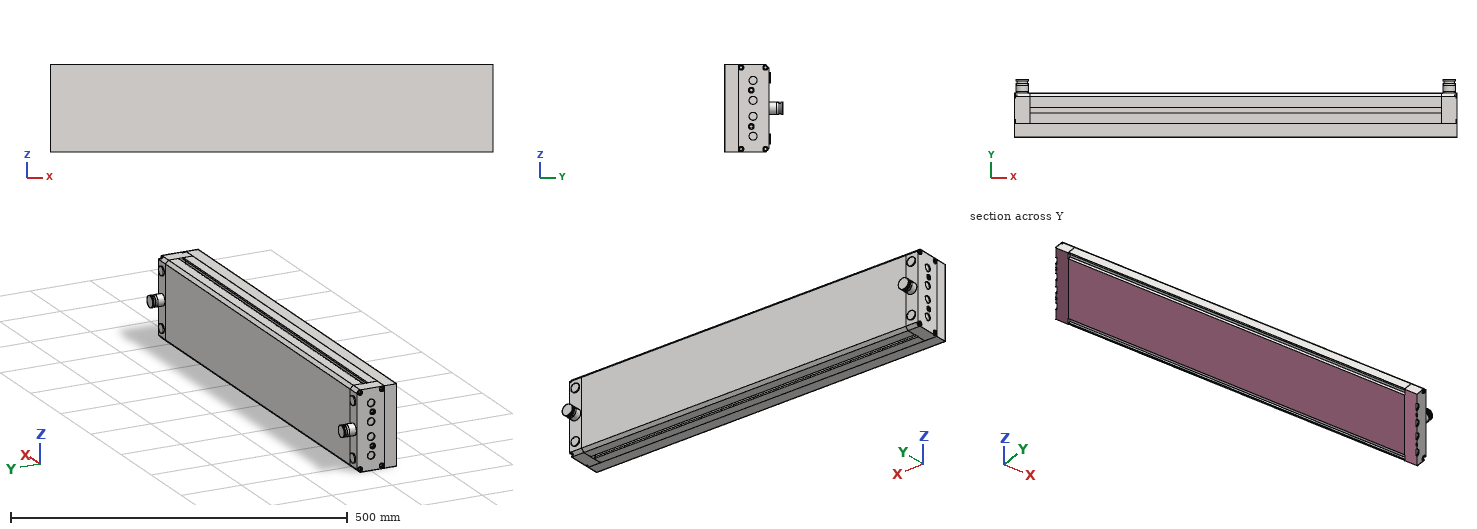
import cadquery as cq

LENGTH = 658.0
HEIGHT = 130.0
TOTAL_DEPTH = 86.0
PANEL_DEPTH = 20.5
BACK_Y = 66.0
CAP_LENGTH = 23.0
HALF_LENGTH = LENGTH / 2
HALF_HEIGHT = HEIGHT / 2
PROFILE_LENGTH = LENGTH - 2 * CAP_LENGTH

BACK_CHAMFER = 5.0

SLOT_FRONT_Y = 36.0
SLOT_WIDTH = 8.0
LIP_THICKNESS = 2.5
UNDERCUT_WIDTH = 16.0
SLOT_DEPTH = 10.5
SLOT_CENTER_Y = SLOT_FRONT_Y + SLOT_WIDTH / 2

RECESS_DEPTH = 2.0
BORE_DEPTH = 4.0
PORT_DIAMETER = 12.0
PORT_Y = 42.0
PORT_HEIGHTS = (12.0, 41.5)
SOCKET_DIAMETER = 8.5
SOCKET_BORE_DIAMETER = 5.0
SOCKET_Y = 39.5
SOCKET_HEIGHT = 27.0
SCREW_DIAMETER = 8.0
SCREW_BORE_DIAMETER = 4.5
SCREW_EDGE_GAP = 4.5
SCREW_DISTANCES_Y = (24.5, 60.5)

PAD_DIAMETER = 15.0
PAD_THICKNESS = 2.0
PAD_Z = 45.5

CONNECTOR_END_GAP = 12.0
CONNECTOR_DIAMETER = 19.0
CONNECTOR_RING_DIAMETER = 18.5
CONNECTOR_NECK_DIAMETER = 16.0
CONNECTOR_NECK_START = 14.5
CONNECTOR_NECK_END = 18.0
CONNECTOR_RING_START = 11.0
CONNECTOR_LENGTH = TOTAL_DEPTH - BACK_Y


def make_front_panel():
    """Flat slab that covers the whole front."""
    return cq.Workplane("XY").box(LENGTH, PANEL_DEPTH, HEIGHT, centered=(True, False, True))


def rear_section(start_x, length):
    """Bar behind the panel with both back edges chamfered, starting at start_x and running along +X."""
    bar = cq.Workplane("XY", origin=(start_x, PANEL_DEPTH, 0))
    bar = bar.box(length, BACK_Y - PANEL_DEPTH, HEIGHT, centered=(False, False, True))
    return bar.faces(">Y").edges("|X").chamfer(BACK_CHAMFER)


def slot_bar(width, depth):
    """Cutter along the profile, reaching the given depth to either side of Z = 0."""
    return cq.Workplane("XY").box(PROFILE_LENGTH, width, 2 * depth)


def make_t_slot():
    """Cutter for a T-slot that opens at Z = 0 and is the same above and below it."""
    lips = slot_bar(UNDERCUT_WIDTH, LIP_THICKNESS)
    opening = slot_bar(SLOT_WIDTH, LIP_THICKNESS)
    return slot_bar(UNDERCUT_WIDTH, SLOT_DEPTH).cut(lips).union(opening)


def make_profile():
    """Middle bar with a T-slot along its top and bottom."""
    profile = rear_section(-PROFILE_LENGTH / 2, PROFILE_LENGTH)
    for side in (-1, 1):
        profile = profile.cut(make_t_slot().translate((0, SLOT_CENTER_Y, side * HALF_HEIGHT)))
    return profile


def end_recess(diameter, y, z, depth=RECESS_DEPTH):
    """Cutter for a round recess in the left end face."""
    face = cq.Workplane("YZ", origin=(-HALF_LENGTH, 0, 0))
    return face.center(y, z).circle(diameter / 2).extrude(depth)


def stepped_recess(diameter, bore_diameter, y, z):
    """Cutter for a round recess with a narrower, deeper bore in its middle."""
    return end_recess(diameter, y, z).union(end_recess(bore_diameter, y, z, BORE_DEPTH))


def make_connector():
    """Stepped round connector on the back of the left end cap."""
    radius = CONNECTOR_DIAMETER / 2
    ring_radius = CONNECTOR_RING_DIAMETER / 2
    neck_radius = CONNECTOR_NECK_DIAMETER / 2
    outline = [
        (0, 0),
        (radius, 0),
        (radius, CONNECTOR_RING_START),
        (ring_radius, CONNECTOR_RING_START),
        (ring_radius, CONNECTOR_NECK_START),
        (neck_radius, CONNECTOR_NECK_START),
        (neck_radius, CONNECTOR_NECK_END),
        (radius, CONNECTOR_NECK_END),
        (radius, CONNECTOR_LENGTH),
        (0, CONNECTOR_LENGTH),
    ]
    connector = cq.Workplane("XY").polyline(outline).close().revolve(360, (0, 0), (0, 1))
    return connector.translate((-HALF_LENGTH + CONNECTOR_END_GAP, BACK_Y, 0))


def make_pad(z):
    """Low round pad on the back of the left end cap."""
    pad = cq.Workplane("XZ", origin=(-HALF_LENGTH + CONNECTOR_END_GAP, BACK_Y, z))
    return pad.circle(PAD_DIAMETER / 2).extrude(-PAD_THICKNESS)


def make_left_cap():
    """End cap with its round recesses, its two pads and its connector."""
    cap = rear_section(-HALF_LENGTH, CAP_LENGTH)
    for side in (-1, 1):
        for height in PORT_HEIGHTS:
            cap = cap.cut(end_recess(PORT_DIAMETER, PORT_Y, side * height))
        cap = cap.cut(stepped_recess(SOCKET_DIAMETER, SOCKET_BORE_DIAMETER, SOCKET_Y, side * SOCKET_HEIGHT))
        for y in SCREW_DISTANCES_Y:
            screw_z = side * (HALF_HEIGHT - SCREW_EDGE_GAP)
            cap = cap.cut(stepped_recess(SCREW_DIAMETER, SCREW_BORE_DIAMETER, y, screw_z))
        cap = cap.union(make_pad(side * PAD_Z))
    return cap.union(make_connector())


front_panel = make_front_panel()
profile = make_profile()
left_cap = make_left_cap()
right_cap = left_cap.mirror("YZ")

result = cq.Compound.makeCompound(
    [front_panel.val(), profile.val(), left_cap.val(), right_cap.val()]
)